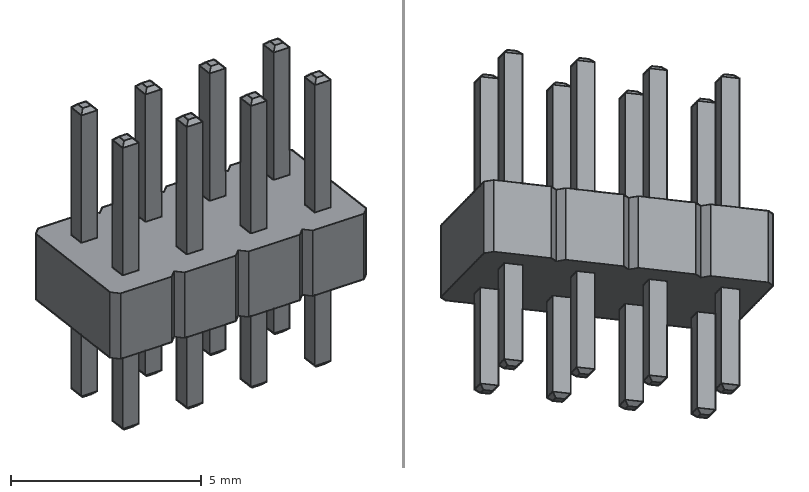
import cadquery as cq

columns = 2
rows = 4
total_height = 8.8
housing_y = 8.0
housing_height = 2.0
pin_length_below = 2.8
corner_chamfer = 0.2
pin_side = 0.5
tip_chamfer = 0.12

pitch = housing_y / rows
housing_x = columns * pitch


def make_row(y_center):
    """One row of the housing: a block with its four upright edges chamfered."""
    return (
        cq.Workplane("XY")
        .center(0, y_center)
        .rect(housing_x, pitch)
        .extrude(housing_height)
        .edges("|Z")
        .chamfer(corner_chamfer)
    )


def make_housing():
    """Rows joined end to end; their chamfered corners meet as V notches."""
    first_row_y = (pitch - housing_y) / 2
    housing = make_row(first_row_y)
    for row in range(1, rows):
        housing = housing.union(make_row(first_row_y + row * pitch))
    return housing.clean()


def make_pins():
    """Square pins with chamfered tips, one at the centre of each cell."""
    return (
        cq.Workplane("XY", origin=(0, 0, -pin_length_below))
        .rarray(pitch, pitch, columns, rows)
        .rect(pin_side, pin_side)
        .extrude(total_height)
        .faces("<Z or >Z")
        .chamfer(tip_chamfer)
    )


result = make_housing().union(make_pins())